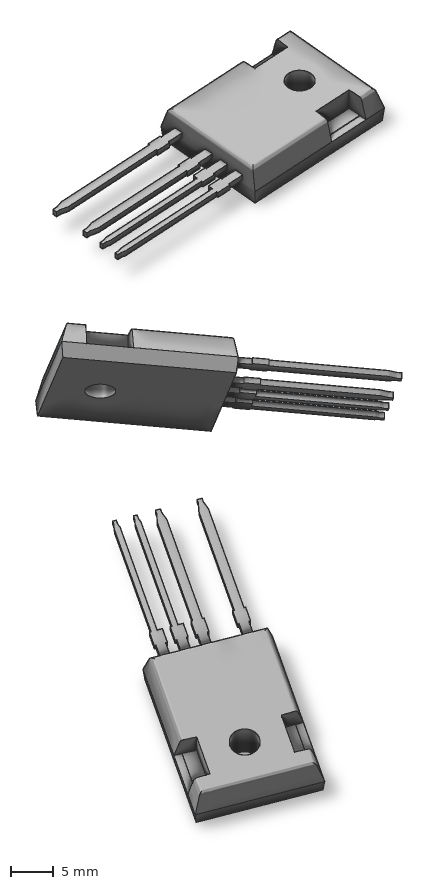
import cadquery as cq
import math


OVERALL_LENGTH = 40.9

HOUSING_WIDTH = 15.8
HOUSING_LENGTH = 21.0
HOUSING_HEIGHT = 5.0
PARTING_HEIGHT = 2.0
SIDE_DRAFT = 15.0
FRONT_DRAFT = 8.0
LOWER_DRAFT = 5.0
TOP_EDGE_RADIUS = 0.5

HOLE_DIAMETER = 3.6
HOLE_FROM_BACK = 6.15
HOLE_Y = HOUSING_LENGTH - HOLE_FROM_BACK

NOTCH_Y = 15.22
NOTCH_DEPTH = 2.75
NOTCH_INNER_LENGTH = 5.3
NOTCH_OUTER_LENGTH = 5.55
LEDGE_WIDTH = 1.0
LEDGE_STEP = 0.1

LEAD_BOTTOM = 2.35
LEAD_THICKNESS = 0.78
LEAD_LENGTH = OVERALL_LENGTH - HOUSING_LENGTH
LEAD_PITCH = 2.55
NECK_WIDTH = 1.2
SHOULDER_WIDTH = 1.6
SHOULDER_START = 2.1
SHOULDER_END = 4.05
TIP_LENGTH = 0.57
TIP_SLOPE = 3.7
THICK_TIP_WIDTH = 0.6
THIN_LEAD_WIDTH = 0.75
THIN_TIP_WIDTH = 0.45


def tapered_half(height, side_draft, front_draft):
    """Solid that shrinks from the parting outline towards its far face at a signed height."""
    rise = abs(height)
    side_inset = rise * math.tan(math.radians(side_draft))
    front_inset = rise * math.tan(math.radians(front_draft))
    far_width = HOUSING_WIDTH - 2 * side_inset
    far_length = HOUSING_LENGTH - side_inset - front_inset
    shift_y = (front_inset - side_inset) / 2
    return (
        cq.Workplane("XY", origin=(0, HOUSING_LENGTH / 2, PARTING_HEIGHT))
        .rect(HOUSING_WIDTH, HOUSING_LENGTH)
        .workplane(offset=height)
        .center(0, shift_y)
        .rect(far_width, far_length)
        .loft(ruled=True)
    )


def notch_cutter(side):
    """Flared notch with a stepped floor; side is -1 for the left and +1 for the right."""
    edge_x = side * HOUSING_WIDTH / 2
    inner_x = edge_x - side * NOTCH_DEPTH
    ledge_x = edge_x - side * LEDGE_WIDTH
    flare = (
        cq.Workplane("XY", origin=(0, NOTCH_Y, PARTING_HEIGHT))
        .moveTo(inner_x, -NOTCH_INNER_LENGTH / 2)
        .lineTo(edge_x, -NOTCH_OUTER_LENGTH / 2)
        .lineTo(edge_x, NOTCH_OUTER_LENGTH / 2)
        .lineTo(inner_x, NOTCH_INNER_LENGTH / 2)
        .close()
        .extrude(HOUSING_HEIGHT)
    )
    raised_floor = (
        cq.Workplane("XY", origin=((inner_x + ledge_x) / 2, NOTCH_Y, PARTING_HEIGHT))
        .rect(NOTCH_DEPTH - LEDGE_WIDTH, NOTCH_OUTER_LENGTH)
        .extrude(LEDGE_STEP)
    )
    return flare.cut(raised_floor)


def make_housing():
    """Moulded block with rounded top edges, clip notches and mounting hole."""
    upper = tapered_half(HOUSING_HEIGHT - PARTING_HEIGHT, SIDE_DRAFT, FRONT_DRAFT)
    upper = upper.faces(">Z").edges().fillet(TOP_EDGE_RADIUS)
    lower = tapered_half(-PARTING_HEIGHT, LOWER_DRAFT, LOWER_DRAFT)
    block = upper.union(lower)
    for side in (-1, 1):
        block = block.cut(notch_cutter(side))
    hole = (
        cq.Workplane("XY")
        .center(0, HOLE_Y)
        .circle(HOLE_DIAMETER / 2)
        .extrude(HOUSING_HEIGHT)
    )
    return block.cut(hole)


def make_lead(center_x, shank_width, tip_width, block):
    """Flat lead whose root ends on the sloped front of the block.

    The shank keeps the right edge of the neck, so a narrow shank sits off centre.
    """
    neck_x = NECK_WIDTH / 2
    shoulder_x = SHOULDER_WIDTH / 2
    shank_left = neck_x - shank_width
    tip_inset = (shank_width - tip_width) / 2
    taper_end = LEAD_LENGTH - TIP_LENGTH
    taper_start = taper_end - TIP_SLOPE * tip_inset
    root_y = HOUSING_HEIGHT * math.tan(math.radians(FRONT_DRAFT))
    outline = [
        (-neck_x, root_y),
        (-neck_x, -SHOULDER_START),
        (-shoulder_x, -SHOULDER_START),
        (-shoulder_x, -SHOULDER_END),
        (shank_left, -SHOULDER_END),
        (shank_left, -taper_start),
        (shank_left + tip_inset, -taper_end),
        (shank_left + tip_inset, -LEAD_LENGTH),
        (neck_x - tip_inset, -LEAD_LENGTH),
        (neck_x - tip_inset, -taper_end),
        (neck_x, -taper_start),
        (neck_x, -SHOULDER_END),
        (shoulder_x, -SHOULDER_END),
        (shoulder_x, -SHOULDER_START),
        (neck_x, -SHOULDER_START),
        (neck_x, root_y),
    ]
    lead = (
        cq.Workplane("XY", origin=(center_x, 0, LEAD_BOTTOM))
        .polyline(outline)
        .close()
        .extrude(LEAD_THICKNESS)
    )
    return lead.cut(block).solids()


block = make_housing()

drain_lead = make_lead(-2 * LEAD_PITCH, NECK_WIDTH, THICK_TIP_WIDTH, block)
housing = block.union(drain_lead).solids()

source_lead = make_lead(0, NECK_WIDTH, THICK_TIP_WIDTH, block)
thin_leads = []
for step in (1, 2):
    thin_lead = make_lead(step * LEAD_PITCH, THIN_LEAD_WIDTH, THIN_TIP_WIDTH, block)
    thin_leads.append(thin_lead.val())

result = cq.Compound.makeCompound([housing.val(), source_lead.val(), *thin_leads])